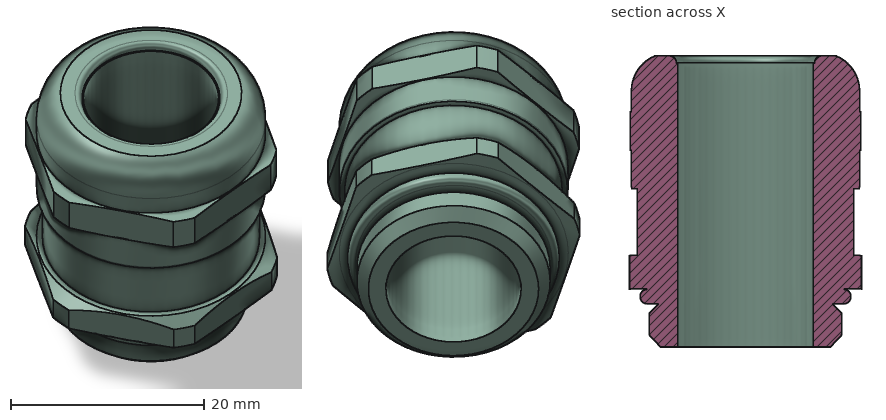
import cadquery as cq
import math

total_height = 30.15
thread_chamfer_top = 1.27
thread_top = 3.5
seal_bottom = 4.45
lower_hex_bottom = 6.0
lower_hex_top = 9.53
collar_bottom = 16.37
collar_edge_height = 0.25
upper_hex_bottom = 20.35
upper_hex_top = 24.35
dome_bottom = 26.47

thread_radius = 20.0 / 2
thread_end_radius = 17.6 / 2
seal_radius = 21.9 / 2
barrel_radius = 22.5 / 2
cap_radius = 23.7 / 2
collar_edge_inset = 0.05
dome_top_radius = 9.38

bore_radius = 14.0 / 2
mouth_radius = 14.25 / 2
mouth_rounding = 0.75

lower_hex_flats = 24.0
lower_hex_corners = 26.5
upper_hex_flats = 23.88
upper_hex_corners = 26.35
hex_chamfer_radius = cap_radius
lower_hex_top_chamfer = 0.78
lower_hex_bottom_chamfer = 0.12
upper_hex_chamfer = 0.18


def arc_middle(center_r, center_z, radius, angle):
    """Point at an angle (radians) on a circle in the radius-height plane."""
    return center_r + radius * math.cos(angle), center_z + radius * math.sin(angle)


def turned_body():
    """Revolve the outside: thread, seal ring, barrel, collar and domed cap."""
    neck_radius = thread_radius - (seal_bottom - thread_top)
    seal_section = (lower_hex_bottom - seal_bottom) / 2
    seal_center_r = seal_radius - seal_section
    seal_middle = (seal_radius, seal_bottom + seal_section)

    rise = total_height - dome_bottom
    run = cap_radius - dome_top_radius
    dome_radius = (rise**2 + run**2) / (2 * run)
    dome_angle = math.asin(rise / dome_radius)
    dome_middle = arc_middle(cap_radius - dome_radius, dome_bottom, dome_radius, dome_angle / 2)

    profile = (
        cq.Workplane("XZ")
        .lineTo(thread_end_radius, 0)
        .lineTo(thread_radius, thread_chamfer_top)
        .lineTo(thread_radius, thread_top)
        .lineTo(neck_radius, seal_bottom)
        .lineTo(seal_center_r, seal_bottom)
        .threePointArc(seal_middle, (seal_center_r, lower_hex_bottom))
        .lineTo(barrel_radius, lower_hex_bottom)
        .lineTo(barrel_radius, collar_bottom)
        .lineTo(cap_radius - collar_edge_inset, collar_bottom)
        .lineTo(cap_radius, collar_bottom + collar_edge_height)
        .lineTo(cap_radius, dome_bottom)
        .threePointArc(dome_middle, (dome_top_radius, total_height))
        .lineTo(0, total_height)
        .close()
    )
    return profile.revolve(360, (0, 0), (0, 1))


def hexagon(bottom, top, flats, corners, bottom_chamfer, top_chamfer):
    """Hexagonal collar with flats facing +Y and -Y, turned to round its corners."""
    prism = (
        cq.Workplane("XY", origin=(0, 0, bottom))
        .polygon(6, flats, circumscribed=True)
        .extrude(top - bottom)
        .rotate((0, 0, 0), (0, 0, 1), 30)
    )
    envelope = (
        cq.Workplane("XZ")
        .moveTo(0, bottom)
        .lineTo(hex_chamfer_radius, bottom)
        .lineTo(corners / 2, bottom + bottom_chamfer)
        .lineTo(corners / 2, top - top_chamfer)
        .lineTo(hex_chamfer_radius, top)
        .lineTo(0, top)
        .close()
        .revolve(360, (0, 0), (0, 1))
    )
    return prism.intersect(envelope)


def bore():
    """Through bore with a slightly wider, rounded mouth at the top."""
    mouth_bottom = total_height - mouth_rounding
    rim_radius = mouth_radius + mouth_rounding
    mouth_middle = arc_middle(rim_radius, mouth_bottom, mouth_rounding, math.radians(135))
    return (
        cq.Workplane("XZ")
        .lineTo(bore_radius, 0)
        .lineTo(bore_radius, mouth_bottom)
        .lineTo(mouth_radius, mouth_bottom)
        .threePointArc(mouth_middle, (rim_radius, total_height))
        .lineTo(0, total_height)
        .close()
        .revolve(360, (0, 0), (0, 1))
    )


lower_hex = hexagon(
    lower_hex_bottom,
    lower_hex_top,
    lower_hex_flats,
    lower_hex_corners,
    lower_hex_bottom_chamfer,
    lower_hex_top_chamfer,
)
upper_hex = hexagon(
    upper_hex_bottom,
    upper_hex_top,
    upper_hex_flats,
    upper_hex_corners,
    upper_hex_chamfer,
    upper_hex_chamfer,
)

result = turned_body().union(lower_hex).union(upper_hex).cut(bore())